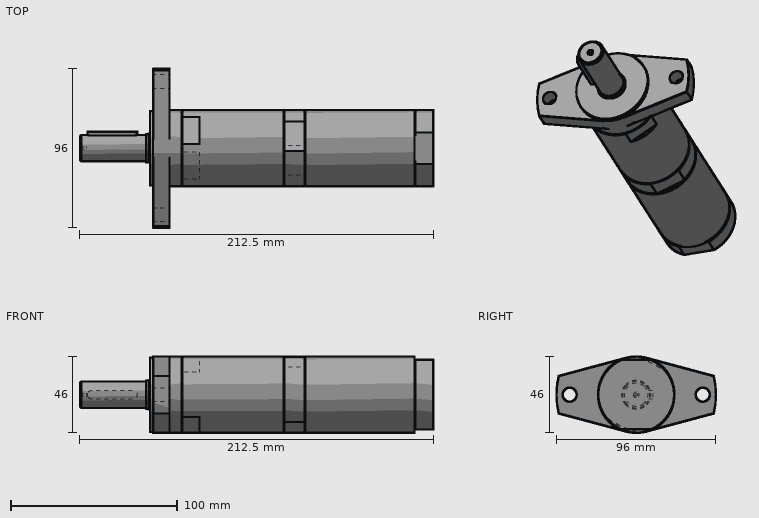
import cadquery as cq
import math


shaft_diameter = 16.0
shaft_tip_chamfer = 1.0
center_hole_diameter = 1.6
center_hole_mouth_diameter = 3.35
center_hole_mouth_angle = 60.0
center_hole_depth = 4.0
small_collar_diameter = 16.95
small_collar_start = 39.7
large_collar_diameter = 17.5
large_collar_start = 41.2

key_width = 5.0
key_length = 30.0
key_start = 4.5
key_top = 10.0

overall_length = 212.5
body_diameter = 46.0
body_start = 42.0
spigot_diameter = 45.0
spigot_length = 2.0
groove_diameter = 45.0
groove_width = 0.6
front_groove_start = 61.2
middle_band_start = 122.9
middle_band_end = 134.9
rear_band_start = 201.2
rear_edge_chamfer = 0.3

flange_start = body_start + spigot_length
flange_thickness = 10.0
flange_edge_chamfer = 0.3
flange_end_radius = 48.0
flange_taper_angle = 15.0
mounting_hole_diameter = 8.3
mounting_hole_spacing = 80.0

across_flats = 42.0
front_flat_tilt = 30.0
front_flat_end = 71.8
middle_flat_tilt = 20.0
rear_flat_tilt = 0.0

body_radius = body_diameter / 2


def cylinder(start, end, diameter):
    """Solid cylinder on the X axis between two X positions."""
    return cq.Workplane("YZ", origin=(start, 0, 0)).circle(diameter / 2).extrude(end - start)


def make_shaft():
    shaft = cylinder(0, body_start, shaft_diameter).faces("<X").chamfer(shaft_tip_chamfer)
    small_collar = cylinder(small_collar_start, body_start, small_collar_diameter)
    large_collar = cylinder(large_collar_start, body_start, large_collar_diameter)
    return shaft.union(small_collar).union(large_collar)


def make_key():
    """Round-ended key standing out of the +Y side of the shaft."""
    return (
        cq.Workplane("XZ", origin=(key_start + key_length / 2, 0, 0))
        .slot2D(key_length, key_width)
        .extrude(-key_top)
    )


def make_center_hole():
    """Center-drilled hole with a conical mouth in the shaft tip."""
    hole_radius = center_hole_diameter / 2
    mouth_radius = center_hole_mouth_diameter / 2
    cone_depth = (mouth_radius - hole_radius) / math.tan(math.radians(center_hole_mouth_angle / 2))
    return (
        cq.Workplane("XY")
        .polyline([
            (0, 0),
            (0, mouth_radius),
            (cone_depth, hole_radius),
            (center_hole_depth, hole_radius),
            (center_hole_depth, 0),
        ])
        .close()
        .revolve(360, (0, 0, 0), (1, 0, 0))
    )


def make_flange():
    """Two-hole flange: edges tangent to the body, closed by arcs about the axis."""
    taper = math.radians(flange_taper_angle)
    tangent_y = body_radius * math.sin(taper)
    tangent_z = body_radius * math.cos(taper)
    corner_angle = math.pi / 2 - taper - math.acos(body_radius / flange_end_radius)
    corner_y = flange_end_radius * math.cos(corner_angle)
    corner_z = flange_end_radius * math.sin(corner_angle)
    return (
        cq.Workplane("YZ", origin=(flange_start, 0, 0))
        .moveTo(tangent_y, tangent_z)
        .lineTo(corner_y, corner_z)
        .threePointArc((flange_end_radius, 0), (corner_y, -corner_z))
        .lineTo(tangent_y, -tangent_z)
        .threePointArc((0, -body_radius), (-tangent_y, -tangent_z))
        .lineTo(-corner_y, -corner_z)
        .threePointArc((-flange_end_radius, 0), (-corner_y, corner_z))
        .lineTo(-tangent_y, tangent_z)
        .threePointArc((0, body_radius), (tangent_y, tangent_z))
        .close()
        .extrude(flange_thickness)
        .faces("<X")
        .chamfer(flange_edge_chamfer)
        .faces(">X")
        .workplane(origin=(0, 0, 0))
        .pushPoints([(-mounting_hole_spacing / 2, 0), (mounting_hole_spacing / 2, 0)])
        .hole(mounting_hole_diameter)
    )


def make_groove(start):
    ring = cylinder(start, start + groove_width, body_diameter)
    return ring.cut(cylinder(start, start + groove_width, groove_diameter))


def make_flats(start, end, tilt):
    """Material outside a pair of opposite flats, tilted from Z toward +Y."""
    slab = (
        cq.Workplane("YZ", origin=(start, 0, 0))
        .rect(3 * body_diameter, across_flats)
        .extrude(end - start)
        .rotate((0, 0, 0), (1, 0, 0), -tilt)
    )
    return cylinder(start, end, 2 * body_diameter).cut(slab)


body = cylinder(flange_start, overall_length, body_diameter)
body = body.union(cylinder(body_start, flange_start, spigot_diameter))
groove_starts = (
    front_groove_start,
    middle_band_start - groove_width,
    middle_band_end,
    rear_band_start,
)
for groove_start in groove_starts:
    body = body.cut(make_groove(groove_start))

body = body.cut(make_flats(front_groove_start + groove_width, front_flat_end, front_flat_tilt))
body = body.cut(make_flats(middle_band_start, middle_band_end, middle_flat_tilt))
body = body.cut(make_flats(rear_band_start, overall_length, rear_flat_tilt))
body = body.faces(">X").chamfer(rear_edge_chamfer)

shaft = make_shaft().union(make_key()).cut(make_center_hole())
result = body.union(make_flange()).union(shaft)